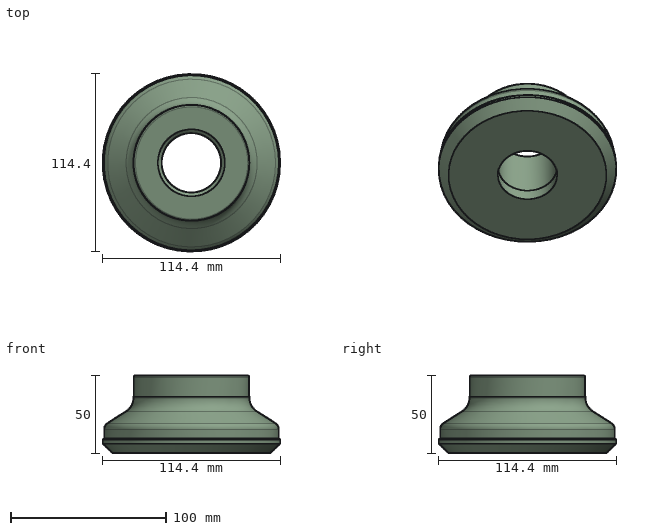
import cadquery as cq
import math

height = 50.0
bore_radius = 38.1 / 2
bore_chamfer = 2.5

ring_radius = 57.2
ring_height = 9.5
ring_bottom_bevel_width = 6.4
ring_bottom_bevel_height = 6.2
ring_top_bevel_height = 0.8

skirt_radius = 112.6 / 2
neck_radius = 74.4 / 2
throat_radius = 74.9 / 2
neck_fillet = 1.0
neck_bottom_z = 36.3
throat_top_z = 35.6
throat_fillet = 10.3
shoulder_top_z = 15.2
shoulder_fillet = 4.9

centre_run = (throat_radius + throat_fillet) - (skirt_radius - shoulder_fillet)
centre_rise = throat_top_z - shoulder_top_z
radius_sum = throat_fillet + shoulder_fillet
turn_angle = math.atan2(centre_rise, centre_run) - math.acos(
    radius_sum / math.hypot(centre_run, centre_rise)
)


def on_throat(angle):
    """Point on the concave throat round, at an angle from its vertical end."""
    return (
        throat_radius + throat_fillet * (1 - math.cos(angle)),
        throat_top_z - throat_fillet * math.sin(angle),
    )


def on_shoulder(angle):
    """Point on the convex shoulder round, at an angle from its vertical end."""
    return (
        skirt_radius - shoulder_fillet * (1 - math.cos(angle)),
        shoulder_top_z + shoulder_fillet * math.sin(angle),
    )


def revolve_about_z(profile):
    """Turn a closed (radius, z) profile about the Z axis."""
    return profile.close().revolve(360, (0, 0, 0), (0, 1, 0))


def make_ring():
    profile = (
        cq.Workplane("XZ")
        .moveTo(bore_radius, 0)
        .lineTo(ring_radius - ring_bottom_bevel_width, 0)
        .lineTo(ring_radius, ring_bottom_bevel_height)
        .lineTo(ring_radius, ring_height - ring_top_bevel_height)
        .lineTo(skirt_radius, ring_height)
        .lineTo(bore_radius, ring_height)
    )
    return revolve_about_z(profile)


def make_hub():
    profile = (
        cq.Workplane("XZ")
        .moveTo(bore_radius, ring_height)
        .lineTo(skirt_radius, ring_height)
        .lineTo(skirt_radius, shoulder_top_z)
        .threePointArc(on_shoulder(turn_angle / 2), on_shoulder(turn_angle))
        .lineTo(*on_throat(turn_angle))
        .threePointArc(on_throat(turn_angle / 2), (throat_radius, throat_top_z))
        .lineTo(throat_radius, neck_bottom_z)
        .lineTo(neck_radius, neck_bottom_z)
        .lineTo(neck_radius, height - neck_fillet)
        .tangentArcPoint((neck_radius - neck_fillet, height), relative=False)
        .lineTo(bore_radius + bore_chamfer, height)
        .lineTo(bore_radius, height - bore_chamfer)
    )
    return revolve_about_z(profile)


ring = make_ring()
hub = make_hub()

result = cq.Compound.makeCompound([ring.val(), hub.val()])